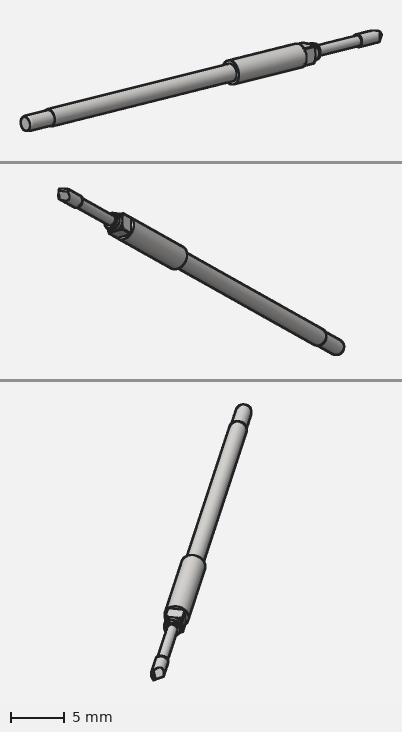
import cadquery as cq
import math

TOTAL_LENGTH = 44.3
TAIL_END = 2.95
TUBE_END = 25.5
BODY_SHOULDER = 33.95
SQUARE_END = 35.3
COLLAR_END = 35.75
COLLAR_NOSE = 36.0
SHANK_END = 41.3

TAIL_DIAMETER = 1.5
TUBE_DIAMETER = 1.7
BODY_DIAMETER = 2.3
COLLAR_NOSE_DIAMETER = 1.5
SHANK_DIAMETER = 1.0
HEAD_DIAMETER = 1.25

TAIL_CHAMFER_LENGTH = 0.3
TAIL_CHAMFER_DEPTH = 0.1
TUBE_CHAMFER_LENGTH = 0.18
TUBE_CHAMFER_DEPTH = 0.05
BODY_CHAMFER = 0.18

SQUARE_WIDTH = TUBE_DIAMETER

HEAD_RADIUS = HEAD_DIAMETER / 2
EDGE_SPACING = 120.0
EDGE_FALL = 0.95
RELIEF_FALL = 0.8

CUT_MARGIN = 0.45


def turned_profile():
    """Solid of revolution about Y, with the head left as a plain cylinder."""
    tail_radius = TAIL_DIAMETER / 2
    tube_radius = TUBE_DIAMETER / 2
    body_radius = BODY_DIAMETER / 2
    nose_radius = COLLAR_NOSE_DIAMETER / 2
    shank_radius = SHANK_DIAMETER / 2
    outline = [
        (0, 0),
        (tail_radius - TAIL_CHAMFER_DEPTH, 0),
        (tail_radius, TAIL_CHAMFER_LENGTH),
        (tail_radius, TAIL_END),
        (tube_radius - TUBE_CHAMFER_DEPTH, TAIL_END),
        (tube_radius, TAIL_END + TUBE_CHAMFER_LENGTH),
        (tube_radius, TUBE_END),
        (body_radius, TUBE_END),
        (body_radius, SQUARE_END - BODY_CHAMFER),
        (body_radius - BODY_CHAMFER, SQUARE_END),
        (tube_radius, SQUARE_END),
        (tube_radius, COLLAR_END),
        (nose_radius, COLLAR_NOSE),
        (shank_radius, COLLAR_NOSE),
        (shank_radius, SHANK_END),
        (HEAD_RADIUS, SHANK_END),
        (HEAD_RADIUS, TOTAL_LENGTH),
        (0, TOTAL_LENGTH),
    ]
    return cq.Workplane("XY").polyline(outline).close().revolve(360, (0, 0, 0), (0, 1, 0))


def square_cutter():
    """Ring around the square drive section that leaves four flats."""
    length = SQUARE_END - BODY_SHOULDER
    outer = BODY_DIAMETER + CUT_MARGIN
    middle = (BODY_SHOULDER + SQUARE_END) / 2
    block = cq.Workplane("XY").box(outer, length, outer)
    core = cq.Workplane("XY").box(SQUARE_WIDTH, length, SQUARE_WIDTH)
    return block.cut(core).translate((0, middle, 0))


def prism_above(points):
    """Prism along Z that clears everything over the given line of X-Y points."""
    top = TOTAL_LENGTH + CUT_MARGIN
    outline = points + [(points[-1][0], top), (points[0][0], top)]
    return cq.Workplane("XY").polyline(outline).close().extrude(BODY_DIAMETER, both=True)


def point_cutters():
    """Two sloping faces meeting on the -X edge, and a stepped face on the +X side."""
    reach = HEAD_RADIUS + CUT_MARGIN
    face_fall = EDGE_FALL / math.cos(math.radians(EDGE_SPACING / 2))
    tip = (0, TOTAL_LENGTH)
    face_foot = (reach, TOTAL_LENGTH - face_fall * reach)
    face = prism_above([tip, face_foot])
    upper = face.rotate((0, 0, 0), (0, 1, 0), -EDGE_SPACING)
    lower = face.rotate((0, 0, 0), (0, 1, 0), EDGE_SPACING)

    step_x = HEAD_RADIUS * math.cos(math.radians(EDGE_SPACING / 2))
    step_y = TOTAL_LENGTH - face_fall * step_x
    relief_foot = (reach, step_y - RELIEF_FALL * (reach - step_x))
    stepped = prism_above([tip, (step_x, step_y), relief_foot])
    return [upper, lower, stepped]


result = turned_profile().cut(square_cutter())
for cutter in point_cutters():
    result = result.cut(cutter)